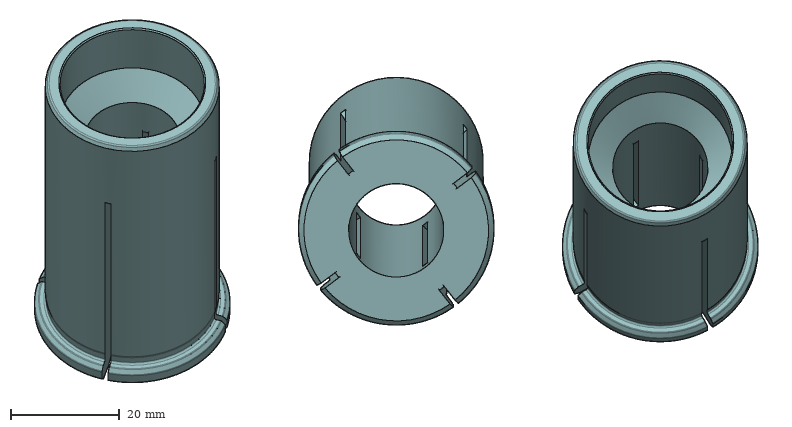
import cadquery as cq
import math

length = 64.0
body_radius = 16.0
top_chamfer_height = 0.8
top_chamfer_width = 0.5
body_fillet = 0.4
match_tolerance = 0.005
bore_radius = 17.5 / 2
socket_radius = 26.5 / 2
socket_floor_z = 53.1
socket_lip_chamfer = 0.25
seat_depth = socket_radius - bore_radius

flange_radius = 18.0
flange_top_z = 3.9
flange_top_chamfer = 0.8
flange_bottom_chamfer = 1.0
flange_fillet = 0.25
relief_radius = 15.9
relief_top_z = 6.0
relief_taper_height = 0.45

slot_count = 4
slot_width = 1.15
slot_top_z = 48.0
slot_floor_z = 2.9
slot_floor_angle = 60.0
slot_overrun = 3.2


def is_at_corner(edge, corners):
    """True if a circular edge matches one of the (radius, z) corners."""
    return any(
        abs(edge.radius() - radius) < match_tolerance and abs(edge.Center().z - z) < match_tolerance
        for radius, z in corners
    )


def round_corners(solid, corners, radius):
    """Fillet the circular edges at the given (radius, z) corners."""
    return solid.edges("%CIRCLE").filter(lambda edge: is_at_corner(edge, corners)).fillet(radius)


def make_sleeve():
    """Revolve the wall section of the flanged sleeve about Z."""
    section = [
        (bore_radius, 0),
        (flange_radius - flange_bottom_chamfer, 0),
        (flange_radius, flange_bottom_chamfer),
        (flange_radius, flange_top_z - flange_top_chamfer),
        (flange_radius - flange_top_chamfer, flange_top_z),
        (relief_radius, flange_top_z),
        (relief_radius, relief_top_z - relief_taper_height),
        (body_radius, relief_top_z),
        (body_radius, length - top_chamfer_height),
        (body_radius - top_chamfer_width, length),
        (socket_radius + socket_lip_chamfer, length),
        (socket_radius, length - socket_lip_chamfer),
        (socket_radius, socket_floor_z),
        (bore_radius, socket_floor_z - seat_depth),
    ]
    sleeve = cq.Workplane("XZ").polyline(section).close().revolve(360, (0, 0, 0), (0, 1, 0))

    flange_corners = [
        (flange_radius, flange_bottom_chamfer),
        (flange_radius, flange_top_z - flange_top_chamfer),
        (flange_radius - flange_top_chamfer, flange_top_z),
    ]
    body_corners = [
        (relief_radius, flange_top_z),
        (body_radius - top_chamfer_width, length),
    ]
    sleeve = round_corners(sleeve, flange_corners, flange_fillet)
    return round_corners(sleeve, body_corners, body_fillet)


def make_slot_cutter():
    """Slot along +X: 45 degree upper end, sloping lower end leaving a thin web at the bore."""
    outer_x = flange_radius + slot_overrun
    upper_inner_z = slot_top_z - body_radius
    lower_slope = math.tan(math.radians(slot_floor_angle))
    web_outer_x = bore_radius + (slot_floor_z + slot_overrun) * lower_slope
    profile = [
        (web_outer_x, -slot_overrun),
        (outer_x, -slot_overrun),
        (outer_x, upper_inner_z + outer_x),
        (0, upper_inner_z),
        (0, slot_floor_z),
        (bore_radius, slot_floor_z),
    ]
    return cq.Workplane("XZ").polyline(profile).close().extrude(slot_width / 2, both=True)


result = make_sleeve()
slot_cutter = make_slot_cutter()
for slot_index in range(slot_count):
    slot_angle = slot_index * 360 / slot_count
    result = result.cut(slot_cutter.rotate((0, 0, 0), (0, 0, 1), slot_angle))